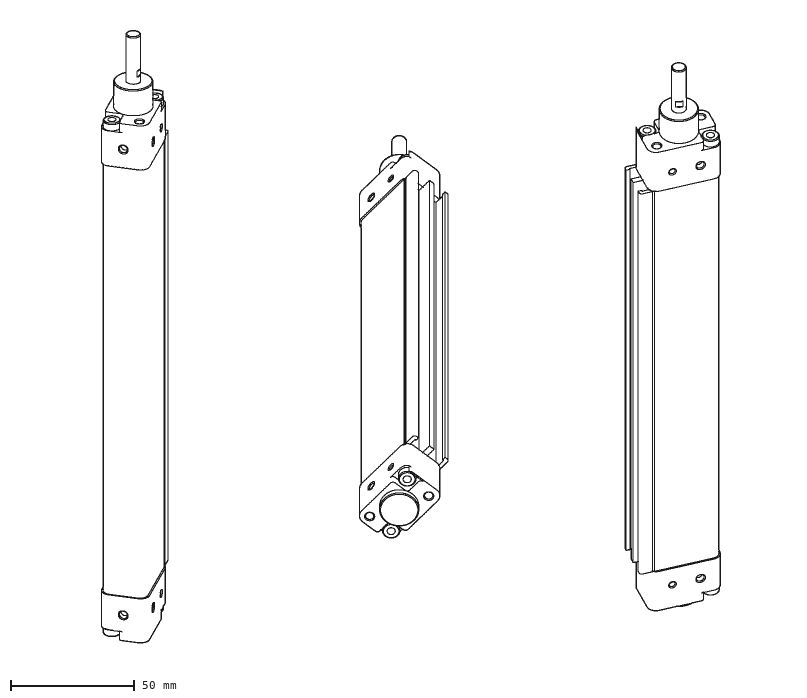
import cadquery as cq


TOTAL_HEIGHT = 274.5
BOSS_HEIGHT = 2.7
CAP_HEIGHT = 20.3
COLLAR_HEIGHT = 11.8
ROD_EXPOSED = 21.7

LOWER_CAP_BOTTOM = BOSS_HEIGHT
LOWER_CAP_TOP = LOWER_CAP_BOTTOM + CAP_HEIGHT
COLLAR_TOP = TOTAL_HEIGHT - ROD_EXPOSED
UPPER_CAP_TOP = COLLAR_TOP - COLLAR_HEIGHT
UPPER_CAP_BOTTOM = UPPER_CAP_TOP - CAP_HEIGHT

CAP_WIDTH = 20.0
CAP_FRONT = -15.5
CAP_BACK = 16.0
CAP_RADIUS = 3.8

PROFILE_WIDTH = 18.7
PROFILE_FRONT = -14.8
PROFILE_BACK = 13.7
PROFILE_RADIUS = 3.3
RAIL_BACK = 20.0
RAIL_THICKNESS = 1.6
RAIL_TIP_RADIUS = 1.0
LIP_REACH = 0.5
LIP_HEIGHT = 1.6
CENTRE_RAIL_WIDTH = 2.5
GROOVE_WIDTH = 0.8
GROOVE_DEPTH = 0.3

COLLAR_DIAMETER = 16.0
COLLAR_CHAMFER = 0.4
ROD_DIAMETER = 6.0
ROD_CHAMFER = 0.4
ROD_BOTTOM = UPPER_CAP_BOTTOM
ACROSS_FLATS = 5.2
FLATS_HEIGHT = 2.7
FLATS_OFFSET = 3.0
FLATS_BOTTOM = COLLAR_TOP + FLATS_OFFSET
FLATS_ANGLE = -15

SCREW_X = 5.8
SCREW_Y = 11.5
RECESS_DEPTH = 4.0
RECESS_WALL_X = 2.0
RECESS_WALL_Y = 7.5
RECESS_CORNER_RADIUS = 1.5
HEAD_DIAMETER = 7.0
HEAD_HEIGHT = 3.3
HEAD_CHAMFER = 0.4
SOCKET_DIAMETER = 3.3
SOCKET_DEPTH = 1.6

MOUTH_CHAMFER = 0.4
MOUNT_HOLE_DIAMETER = 4.0
MOUNT_HOLE_DEPTH = 8.2
PORT_DIAMETER = 4.0
SMALL_PORT_DIAMETER = 3.3
PORT_DEPTH = 2.7
PORT_Y = -5.8
SMALL_PORT_Y = 6.3
PORT_INSET = 11.8


def rounded_block(width, front, back, bottom, height, radius, edges="|Z"):
    """Upright block centred on X, with rounded upright edges."""
    block = cq.Workplane("XY").box(width, back - front, height, centered=(True, False, False))
    return block.translate((0, front, bottom)).edges(edges).fillet(radius)


def cylinder(diameter, bottom, height, x=0, y=0):
    return cq.Workplane("XY", origin=(x, y, bottom)).circle(diameter / 2).extrude(height)


def side_rail():
    """Hooked rail along the rear right edge of the profile."""
    outer = PROFILE_WIDTH / 2
    inner = outer - RAIL_THICKNESS
    return (
        cq.Workplane("XY", origin=(0, 0, LOWER_CAP_TOP))
        .moveTo(outer - GROOVE_DEPTH, PROFILE_BACK)
        .lineTo(outer - GROOVE_DEPTH, PROFILE_BACK + GROOVE_WIDTH)
        .lineTo(outer, PROFILE_BACK + GROOVE_WIDTH)
        .lineTo(outer, RAIL_BACK - RAIL_TIP_RADIUS)
        .radiusArc((outer - RAIL_TIP_RADIUS, RAIL_BACK), -RAIL_TIP_RADIUS)
        .lineTo(inner - LIP_REACH, RAIL_BACK)
        .lineTo(inner - LIP_REACH, RAIL_BACK - LIP_HEIGHT)
        .lineTo(inner, RAIL_BACK - LIP_HEIGHT)
        .lineTo(inner, PROFILE_BACK)
        .close()
        .extrude(UPPER_CAP_BOTTOM - LOWER_CAP_TOP)
    )


def profile():
    length = UPPER_CAP_BOTTOM - LOWER_CAP_TOP
    body = rounded_block(
        PROFILE_WIDTH, PROFILE_FRONT, PROFILE_BACK, LOWER_CAP_TOP, length, PROFILE_RADIUS, "|Z and <Y"
    )
    centre_rail = (
        cq.Workplane("XY", origin=(0, PROFILE_BACK, LOWER_CAP_TOP))
        .box(CENTRE_RAIL_WIDTH, RAIL_BACK - PROFILE_BACK, length, centered=(True, False, False))
    )
    rail = side_rail()
    return body.union(centre_rail).union(rail).union(rail.mirror("YZ"))


def screw_recess():
    """Cutter for the recess at the front left corner of the upper cap."""
    left = -CAP_WIDTH / 2
    r = RECESS_CORNER_RADIUS
    return (
        cq.Workplane("XY", origin=(0, 0, UPPER_CAP_TOP - RECESS_DEPTH))
        .moveTo(left, CAP_FRONT)
        .lineTo(-RECESS_WALL_X + r, CAP_FRONT)
        .radiusArc((-RECESS_WALL_X, CAP_FRONT + r), r)
        .lineTo(-RECESS_WALL_X, -RECESS_WALL_Y - r)
        .radiusArc((-RECESS_WALL_X - r, -RECESS_WALL_Y), -r)
        .lineTo(left + r, -RECESS_WALL_Y)
        .radiusArc((left, -RECESS_WALL_Y + r), r)
        .close()
        .extrude(RECESS_DEPTH)
    )


def screw_head():
    """Socket head standing in the front left recess of the upper cap."""
    bottom = UPPER_CAP_TOP - RECESS_DEPTH
    head = cylinder(HEAD_DIAMETER, bottom, HEAD_HEIGHT, -SCREW_X, -SCREW_Y)
    head = head.faces(">Z").chamfer(HEAD_CHAMFER)
    socket_tip = cq.Vector(-SCREW_X, -SCREW_Y, bottom + HEAD_HEIGHT - SOCKET_DEPTH)
    socket = cq.Solid.makeCone(0, SOCKET_DIAMETER / 2, SOCKET_DEPTH, socket_tip)
    return head.cut(socket)


def hole_cutter(mouth_diameter, depth, mouth_centre, direction):
    """Blind hole with a chamfered mouth, sunk from mouth_centre along direction."""
    centre = cq.Vector(*mouth_centre)
    inward = cq.Vector(*direction)
    mouth_radius = mouth_diameter / 2
    hole_radius = mouth_radius - MOUTH_CHAMFER
    drill = cq.Solid.makeCylinder(hole_radius, depth, centre, inward)
    countersink = cq.Solid.makeCone(mouth_radius, hole_radius, MOUTH_CHAMFER, centre, inward)
    return cq.Workplane(drill).union(cq.Workplane(countersink))


def upper_cap():
    cap = rounded_block(CAP_WIDTH, CAP_FRONT, CAP_BACK, UPPER_CAP_BOTTOM, CAP_HEIGHT, CAP_RADIUS)

    for turn in (0, 180):
        cap = cap.cut(screw_recess().rotate((0, 0, 0), (0, 0, 1), turn))
        cap = cap.union(screw_head().rotate((0, 0, 0), (0, 0, 1), turn))

    port_height = UPPER_CAP_TOP - PORT_INSET
    for side in (-1, 1):
        mount_mouth = (side * SCREW_X, -side * SCREW_Y, UPPER_CAP_TOP)
        cap = cap.cut(hole_cutter(MOUNT_HOLE_DIAMETER, MOUNT_HOLE_DEPTH, mount_mouth, (0, 0, -1)))
        for diameter, y in ((PORT_DIAMETER, PORT_Y), (SMALL_PORT_DIAMETER, SMALL_PORT_Y)):
            port_mouth = (side * CAP_WIDTH / 2, y, port_height)
            cap = cap.cut(hole_cutter(diameter, PORT_DEPTH, port_mouth, (-side, 0, 0)))

    return cap.cut(hole_cutter(PORT_DIAMETER, PORT_DEPTH, (0, CAP_FRONT, port_height), (0, 1, 0)))


def lower_cap():
    """Upper cap turned upside down by mirroring, so the same corners carry screws."""
    mid_height = (LOWER_CAP_BOTTOM + UPPER_CAP_TOP) / 2
    return upper_cap().mirror("XY", (0, 0, mid_height))


def make_housing():
    housing = profile().union(upper_cap()).union(lower_cap())
    collar = cylinder(COLLAR_DIAMETER, UPPER_CAP_BOTTOM, COLLAR_TOP - UPPER_CAP_BOTTOM)
    boss = cylinder(COLLAR_DIAMETER, 0, LOWER_CAP_TOP)
    housing = housing.union(collar.faces(">Z").chamfer(COLLAR_CHAMFER))
    housing = housing.union(boss.faces("<Z").chamfer(COLLAR_CHAMFER))
    rod_bore = cylinder(ROD_DIAMETER, ROD_BOTTOM, COLLAR_TOP - ROD_BOTTOM)
    return housing.cut(rod_bore)


def make_rod():
    rod = cylinder(ROD_DIAMETER, ROD_BOTTOM, TOTAL_HEIGHT - ROD_BOTTOM)
    rod = rod.faces(">Z").chamfer(ROD_CHAMFER)
    disc = cylinder(2 * ROD_DIAMETER, FLATS_BOTTOM, FLATS_HEIGHT)
    core = (
        cq.Workplane("XY", origin=(0, 0, FLATS_BOTTOM))
        .rect(ACROSS_FLATS, 3 * ROD_DIAMETER)
        .extrude(FLATS_HEIGHT)
    )
    flats = disc.cut(core).rotate((0, 0, 0), (0, 0, 1), FLATS_ANGLE)
    return rod.cut(flats)


housing = make_housing()
rod = make_rod()
result = cq.Compound.makeCompound([housing.val(), rod.val()])